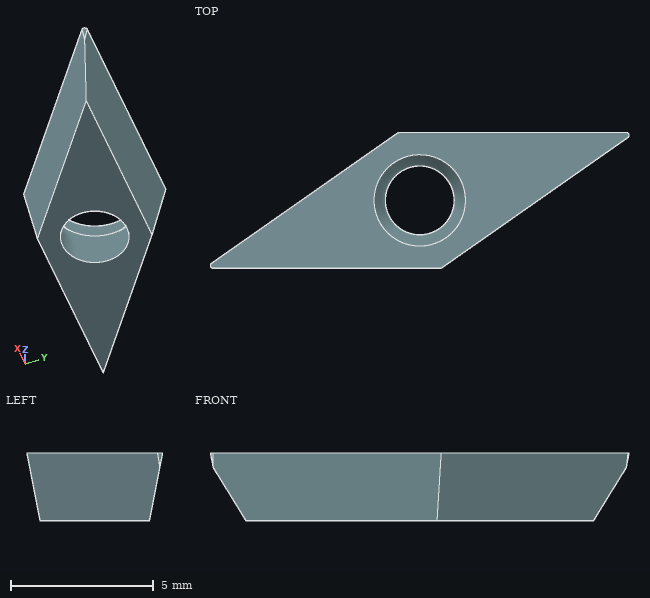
import cadquery as cq
import math


inscribed_diameter = 4.76
thickness = 2.38
nose_angle = 35.0
clearance_angle = 11.0
nose_radius = 0.1

seat_diameter = 3.2
seat_depth = 0.53
bore_diameter = 2.4
bore_start_depth = 1.6

half_angle = math.radians(nose_angle / 2)
clearance_slope = math.tan(math.radians(clearance_angle))


def on_diagonal(distance, offset=0.0):
    """Point measured along the long diagonal, with a sideways offset from it."""
    x = distance * math.cos(half_angle) - offset * math.sin(half_angle)
    y = distance * math.sin(half_angle) + offset * math.cos(half_angle)
    return x, y


def make_body():
    """Sharp-cornered rhombus, two sides parallel to X, leaning inward toward the base."""
    half_long = inscribed_diameter / 2 / math.sin(half_angle)
    half_short = inscribed_diameter / 2 / math.cos(half_angle)
    corners = [
        on_diagonal(half_long),
        on_diagonal(0, half_short),
        on_diagonal(-half_long),
        on_diagonal(0, -half_short),
    ]
    return cq.Workplane("XY").polyline(corners).close().extrude(-thickness, taper=clearance_angle)


def make_nose_trim():
    """Material outside the conical nose at the +X corner.

    The nose narrows to a point where the leaning flanks meet its axis.
    """
    nose_height = nose_radius / clearance_slope
    tip_distance = inscribed_diameter / 2 / math.sin(half_angle)
    center_distance = tip_distance - nose_radius / math.sin(half_angle)
    tangent_distance = center_distance + nose_radius * math.sin(half_angle)
    tangent_offset = nose_radius * math.cos(half_angle)
    corner_prism = (
        cq.Workplane("XY")
        .polyline(
            [
                on_diagonal(center_distance),
                on_diagonal(tangent_distance, -tangent_offset),
                on_diagonal(tip_distance),
                on_diagonal(tangent_distance, tangent_offset),
            ]
        )
        .close()
        .extrude(-nose_height)
    )
    nose_cone = cq.Solid.makeCone(
        nose_radius,
        0,
        nose_height,
        pnt=cq.Vector(*on_diagonal(center_distance), 0),
        dir=cq.Vector(0, 0, -1),
    )
    return corner_prism.cut(cq.Workplane(obj=nose_cone))


def make_screw_hole():
    """Straight wall, convex rounded seat tangent to the bore, then the bore."""
    seat_radius = seat_diameter / 2
    bore_radius = bore_diameter / 2
    arc_width = seat_radius - bore_radius
    arc_height = bore_start_depth - seat_depth
    arc_radius = (arc_width**2 + arc_height**2) / (2 * arc_width)
    return (
        cq.Workplane("XZ")
        .moveTo(0, 0)
        .lineTo(seat_radius, 0)
        .lineTo(seat_radius, -seat_depth)
        .radiusArc((bore_radius, -bore_start_depth), -arc_radius)
        .lineTo(bore_radius, -thickness)
        .lineTo(0, -thickness)
        .close()
        .revolve(360, (0, 0), (0, 1))
    )


result = make_body()
nose_trim = make_nose_trim()
for turn in (0, 180):
    result = result.cut(nose_trim.rotate((0, 0, 0), (0, 0, 1), turn))
result = result.cut(make_screw_hole()).solids()